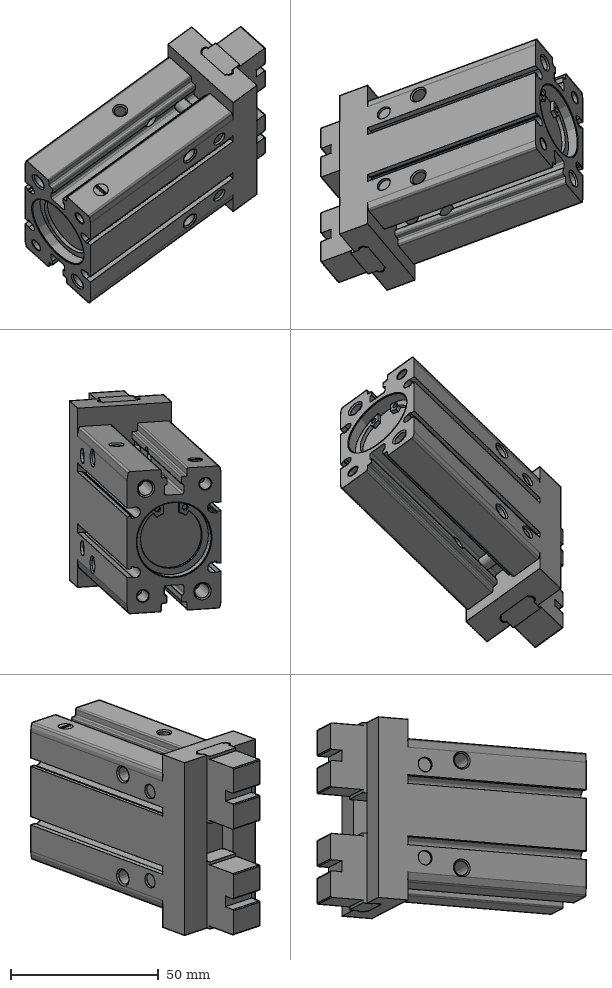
import cadquery as cq
import math


WIDTH = 33.0
HEAD_HEIGHT = 62.6
TOTAL_LENGTH = 89.2
BODY_HEIGHT = 49.7
BODY_LENGTH = 65.1
HEAD_FRONT = 76.0
HALF_WIDTH = WIDTH / 2
HALF_BODY = BODY_HEIGHT / 2
HALF_HEAD = HEAD_HEIGHT / 2

CORNER_DROP = 3.2
CORNER_RADIUS = 8.9
CORNER_FILLET = 0.8

SLOT_MOUTH_WIDTH = 9.0
SLOT_NECK_WIDTH = 5.1
SLOT_POCKET_WIDTH = 6.8
SLOT_LEDGE_Z = 21.9
SLOT_POCKET_TOP_Z = 19.45
SLOT_FLOOR_Z = 15.8
SLOT_FILLET = 0.5
POCKET_FILLET = 0.7

GROOVE_DIAMETER = 3.7
GROOVE_X = 13.65
GROOVE_Z = 10.5
MOUTH_WIDTH = 3.0
MOUTH_Z = 10.6
GROOVE_NOTCH_OUTER_X = 15.0
GROOVE_NOTCH_LENGTH = 1.0
GROOVE_NOTCH_BOTTOM_Z = 8.5

BORE_DIAMETER = 26.0
BORE_CHAMFER = 0.3
BORE_DEPTH = 5.0
RING_THICKNESS = 1.3
RING_INNER_RADIUS = 10.8
LUG_INNER_RADIUS = 8.9
RING_GAP = 5.6
LUG_ANGLE = 35.0
RING_HOLE_DIAMETER = 2.0
RING_HOLE_X = 4.8
RING_HOLE_Z = 10.2

HOLE_CHAMFER = 0.5
LARGE_HOLE_DIAMETER = 5.0
LARGE_HOLE_DEPTH = 12.5
LARGE_HOLE_X = 9.9
LARGE_HOLE_Z = 18.55
SMALL_HOLE_DIAMETER = 4.1
SMALL_HOLE_CHAMFER = 0.2
SMALL_HOLE_DEPTH = 8.9
SMALL_HOLE_X = 11.0
SMALL_HOLE_Z = 18.9
CROSS_HOLE_DIAMETER = 5.0
CROSS_HOLE_Y = 45.5
CROSS_HOLE_Z = 18.6
PORT_DIAMETER = 4.0
PORT_CHAMFER = 0.5
PORT_X = 10.2
PORT_Y = 37.6
PORT_DEPTH = 7.1

PIVOT_DIAMETER = 5.0
PIVOT_Y = 58.9
PIVOT_Z = 16.15
PIVOT_RECESS = 1.0

PLUG_DIAMETER = 5.0
PLUG_DEPTH = 3.0
PLUG_X = 10.2
PLUG_Y = 10.5
DRIVER_SLOT_LENGTH = 3.9
DRIVER_SLOT_WIDTH = 0.9
DRIVER_SLOT_DEPTH = 0.7

JAW_WIDTH = 12.2
JAW_BOTTOM = 70.8
JAW_BASE_FRONT = 77.5
JAW_BASE_INNER_Z = 7.0
JAW_STEP = 1.1
JAW_BASE_FILLET = 0.4
JAW_TIP_CHAMFER = 0.4
FINGER_NOTCH_WIDTH = 3.8
FINGER_NOTCH_DEPTH = 4.1
RAIL_Y = 72.8
RAIL_DIAMETER = 2.85
RAIL_X = 5.5
TRACK_DIAMETER = 3.0
TRACK_X = 5.9
JAW_BASE_HEIGHT = HALF_HEAD - JAW_BASE_INNER_Z
JAW_CENTER_Z = (HALF_HEAD + JAW_BASE_INNER_Z) / 2


def box(x_min, x_max, y_min, y_max, z_min, z_max):
    """Axis-aligned block between the given limits."""
    block = cq.Workplane("XY").box(x_max - x_min, y_max - y_min, z_max - z_min, centered=False)
    return block.translate((x_min, y_min, z_min))


def rod(start, direction, diameter, length):
    """Round bar from a start point along a direction."""
    solid = cq.Solid.makeCylinder(diameter / 2, length, cq.Vector(*start), cq.Vector(*direction))
    return cq.Workplane(solid)


def drill(start, direction, diameter, depth, chamfer):
    """Cutter for a hole with a 45-degree countersink at its start."""
    sink = cq.Solid.makeCone(
        diameter / 2 + chamfer, diameter / 2, chamfer, cq.Vector(*start), cq.Vector(*direction)
    )
    return rod(start, direction, diameter, depth).union(cq.Workplane(sink))


def body_block():
    """Extruded body whose sides curve in tangentially towards rounded top and bottom edges."""
    side_z = HALF_BODY - CORNER_DROP
    corner_x = HALF_WIDTH - CORNER_RADIUS + math.sqrt(CORNER_RADIUS**2 - CORNER_DROP**2)
    outline = (
        cq.Workplane("XZ")
        .moveTo(-corner_x, HALF_BODY)
        .lineTo(corner_x, HALF_BODY)
        .radiusArc((HALF_WIDTH, side_z), CORNER_RADIUS)
        .lineTo(HALF_WIDTH, -side_z)
        .radiusArc((corner_x, -HALF_BODY), CORNER_RADIUS)
        .lineTo(-corner_x, -HALF_BODY)
        .radiusArc((-HALF_WIDTH, -side_z), CORNER_RADIUS)
        .lineTo(-HALF_WIDTH, side_z)
        .radiusArc((-corner_x, HALF_BODY), CORNER_RADIUS)
        .close()
    )
    block = outline.extrude(-BODY_LENGTH)
    return block.edges("(>Z or <Z) and |Y").fillet(CORNER_FILLET)


def t_slot_cutter():
    """Stepped slot along the top of the body, its edges not yet rounded."""
    mouth = box(-SLOT_MOUTH_WIDTH / 2, SLOT_MOUTH_WIDTH / 2, 0, BODY_LENGTH, SLOT_LEDGE_Z, HALF_BODY)
    neck = box(-SLOT_NECK_WIDTH / 2, SLOT_NECK_WIDTH / 2, 0, BODY_LENGTH, SLOT_FLOOR_Z, HALF_BODY)
    pocket = box(
        -SLOT_POCKET_WIDTH / 2, SLOT_POCKET_WIDTH / 2, 0, BODY_LENGTH, SLOT_FLOOR_Z, SLOT_POCKET_TOP_Z
    )
    return mouth.union(neck).union(pocket)


def fillet_mirrored(body, x, z, radius):
    """Round the four lengthwise edges of the body at (+-x, +-z)."""
    edges = []
    for side in (-1, 1):
        for level in (-1, 1):
            edge_middle = (side * x, BODY_LENGTH / 2, level * z)
            edges.append(body.edges(cq.selectors.NearestToPointSelector(edge_middle)).val())
    return body.newObject(edges).fillet(radius)


def cut_t_slots(body):
    """Cut both T-slots and round their edges, except the sharp lips above the pockets."""
    top_slot = t_slot_cutter()
    body = body.cut(top_slot).cut(top_slot.mirror("XY"))
    body = fillet_mirrored(body, SLOT_MOUTH_WIDTH / 2, HALF_BODY, SLOT_FILLET)
    body = fillet_mirrored(body, SLOT_MOUTH_WIDTH / 2, SLOT_LEDGE_Z, SLOT_FILLET)
    body = fillet_mirrored(body, SLOT_NECK_WIDTH / 2, SLOT_LEDGE_Z, SLOT_FILLET)
    body = fillet_mirrored(body, SLOT_POCKET_WIDTH / 2, SLOT_POCKET_TOP_Z, POCKET_FILLET)
    return fillet_mirrored(body, SLOT_POCKET_WIDTH / 2, SLOT_FLOOR_Z, POCKET_FILLET)


def sensor_groove_cutter(side, level):
    """Round groove on one side (X sign) and level (Z sign), with a narrower mouth.

    A shallow notch behind the mouth lies on the side nearest the bore axis.
    """
    groove = rod((GROOVE_X, 0, GROOVE_Z), (0, 1, 0), GROOVE_DIAMETER, BODY_LENGTH)
    mouth = box(
        GROOVE_X, HALF_WIDTH, 0, BODY_LENGTH, MOUTH_Z - MOUTH_WIDTH / 2, MOUTH_Z + MOUTH_WIDTH / 2
    )
    notch_inner_x = GROOVE_NOTCH_OUTER_X - GROOVE_NOTCH_LENGTH
    notch = box(notch_inner_x, GROOVE_NOTCH_OUTER_X, 0, BODY_LENGTH, GROOVE_NOTCH_BOTTOM_Z, GROOVE_Z)
    cutter = groove.union(mouth).union(notch)
    if side < 0:
        cutter = cutter.mirror("YZ")
    if level < 0:
        cutter = cutter.mirror("XY")
    return cutter


def retaining_ring():
    """Open snap ring with two drilled lugs, seated on the bore floor."""
    ring_front = BORE_DEPTH - RING_THICKNESS
    plane = cq.Workplane("XZ", origin=(0, ring_front, 0))
    ring = plane.circle(BORE_DIAMETER / 2).circle(RING_INNER_RADIUS).extrude(-RING_THICKNESS)
    lugs = plane.circle(BORE_DIAMETER / 2).circle(LUG_INNER_RADIUS).extrude(-RING_THICKNESS)
    side_x = BORE_DIAMETER * math.tan(math.radians(LUG_ANGLE))
    sector = plane.polyline([(0, 0), (side_x, BORE_DIAMETER), (-side_x, BORE_DIAMETER)]).close()
    lugs = lugs.intersect(sector.extrude(-RING_THICKNESS))
    gap = box(-RING_GAP / 2, RING_GAP / 2, 0, BORE_DEPTH, 0, BORE_DIAMETER)
    ring = ring.union(lugs).cut(gap)
    for side in (-1, 1):
        start = (side * RING_HOLE_X, ring_front, RING_HOLE_Z)
        ring = ring.cut(rod(start, (0, 1, 0), RING_HOLE_DIAMETER, RING_THICKNESS))
    return ring


def rear_hole_cutters():
    """Two large and two small blind holes in the rear face, each pair diagonally opposite."""
    cutters = []
    for sign in (-1, 1):
        large = (sign * LARGE_HOLE_X, 0, -sign * LARGE_HOLE_Z)
        cutters.append(drill(large, (0, 1, 0), LARGE_HOLE_DIAMETER, LARGE_HOLE_DEPTH, HOLE_CHAMFER))
        small = (sign * SMALL_HOLE_X, 0, sign * SMALL_HOLE_Z)
        cutters.append(drill(small, (0, 1, 0), SMALL_HOLE_DIAMETER, SMALL_HOLE_DEPTH, SMALL_HOLE_CHAMFER))
    return cutters


def cross_hole_cutter(level):
    """Hole through the whole width, countersunk on both sides."""
    cutter = None
    for side in (-1, 1):
        start = (side * HALF_WIDTH, CROSS_HOLE_Y, level * CROSS_HOLE_Z)
        half = drill(start, (-side, 0, 0), CROSS_HOLE_DIAMETER, HALF_WIDTH, HOLE_CHAMFER)
        cutter = half if cutter is None else cutter.union(half)
    return cutter


def pivot_pin(level):
    """Lever pin that spans the T-slot and ends just below both sides."""
    half_length = HALF_WIDTH - PIVOT_RECESS
    return rod((-half_length, PIVOT_Y, level * PIVOT_Z), (1, 0, 0), PIVOT_DIAMETER, 2 * half_length)


def pivot_hole_cutter(level):
    """Hole for a pivot pin through the whole width."""
    return rod((-HALF_WIDTH, PIVOT_Y, level * PIVOT_Z), (1, 0, 0), PIVOT_DIAMETER, WIDTH)


def guide_channel_cutter():
    """Channel through the head for both jaws, with a blind round track beside each rail."""
    cutter = box(-JAW_WIDTH / 2, JAW_WIDTH / 2, JAW_BOTTOM, HEAD_FRONT, -HALF_HEAD, HALF_HEAD)
    for side in (-1, 1):
        start = (side * TRACK_X, RAIL_Y, JAW_BASE_INNER_Z)
        track = rod(start, (0, 0, 1), TRACK_DIAMETER, JAW_BASE_HEIGHT)
        cutter = cutter.union(track).union(track.mirror("XY"))
    return cutter


def make_housing():
    """Body and head in one piece, with the pivot pins and retaining ring included."""
    body = cut_t_slots(body_block())
    body = body.union(box(-HALF_WIDTH, HALF_WIDTH, BODY_LENGTH, HEAD_FRONT, -HALF_HEAD, HALF_HEAD))
    body = body.cut(guide_channel_cutter())
    for level in (-1, 1):
        for side in (-1, 1):
            body = body.cut(sensor_groove_cutter(side, level))
        body = body.cut(cross_hole_cutter(level))
        body = body.cut(pivot_hole_cutter(level)).union(pivot_pin(level))
    for cutter in rear_hole_cutters():
        body = body.cut(cutter)
    body = body.cut(drill((-PORT_X, PORT_Y, HALF_BODY), (0, 0, -1), PORT_DIAMETER, PORT_DEPTH, PORT_CHAMFER))
    body = body.cut(rod((PLUG_X, PLUG_Y, HALF_BODY), (0, 0, -1), PLUG_DIAMETER, PLUG_DEPTH))
    body = body.cut(drill((0, 0, 0), (0, 1, 0), BORE_DIAMETER, BORE_DEPTH, BORE_CHAMFER))
    return body.union(retaining_ring())


def make_plug():
    """Plug flush with the top of the body, with a screwdriver slot."""
    plug = rod((PLUG_X, PLUG_Y, HALF_BODY), (0, 0, -1), PLUG_DIAMETER, PLUG_DEPTH)
    driver_slot = cq.Workplane("XY").box(DRIVER_SLOT_LENGTH, DRIVER_SLOT_WIDTH, 2 * DRIVER_SLOT_DEPTH)
    return plug.cut(driver_slot.translate((PLUG_X, PLUG_Y, HALF_BODY)))


def make_jaw():
    """Upper jaw: guided base, two side rails and a notched finger."""
    half_width = JAW_WIDTH / 2
    base = box(-half_width, half_width, JAW_BOTTOM, JAW_BASE_FRONT, JAW_BASE_INNER_Z, HALF_HEAD)
    base = base.edges("|Z and >Y").fillet(JAW_BASE_FILLET)
    for side in (-1, 1):
        start = (side * RAIL_X, RAIL_Y, JAW_BASE_INNER_Z)
        base = base.union(rod(start, (0, 0, 1), RAIL_DIAMETER, JAW_BASE_HEIGHT))
    finger = box(
        -half_width, half_width, JAW_BOTTOM, TOTAL_LENGTH, JAW_BASE_INNER_Z + JAW_STEP, HALF_HEAD - JAW_STEP
    )
    notch = box(
        -half_width,
        half_width,
        TOTAL_LENGTH - FINGER_NOTCH_DEPTH,
        TOTAL_LENGTH,
        JAW_CENTER_Z - FINGER_NOTCH_WIDTH / 2,
        JAW_CENTER_Z + FINGER_NOTCH_WIDTH / 2,
    )
    finger = finger.cut(notch)
    finger = finger.faces(">Y").edges("|X").chamfer(JAW_TIP_CHAMFER)
    return base.union(finger)


housing = make_housing()
plug = make_plug()
upper_jaw = make_jaw()
jaws = [upper_jaw, upper_jaw.mirror("XY")]

jaw_solids = [jaw.solids().val() for jaw in jaws]
result = cq.Compound.makeCompound([housing.solids().val(), plug.val(), *jaw_solids])